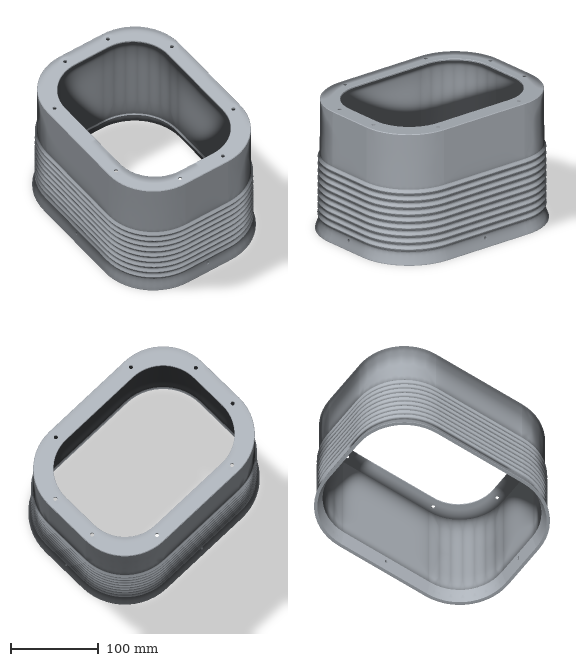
import cadquery as cq

CORE_X = 120.0
CORE_Y = 60.0
HEIGHT = 159.5

FOOT_OFFSET = 68.2
FOOT_LIP_HEIGHT = 0.8
FLARE_TOP_OFFSET = 63.3
BODY_BASE_OFFSET = 62.8
BODY_TOP_OFFSET = 62.5
TOP_EDGE_CHAMFER = 0.8

RIB_COUNT = 9
RIB_DEPTH = 2.3
RIB_BAND_BOTTOM = 14.5
RIB_BAND_TOP = 92.2
VALLEY_WIDTH = 1.0
CREST_WIDTH = 0.8

WALL = 2.3
LEDGE_Z = 16.0
LEDGE_WIDTH = 2.5
FOOT_WALL = 3.8

FLANGE_THICKNESS = 2.0
OPENING_X = 204.5
OPENING_Y = 144.3
OPENING_RADIUS = 49.2
OPENING_CHAMFER = 0.5

FLANGE_HOLE_DIAMETER = 4.5
FLANGE_HOLE_OFFSET = 52.3
FOOT_HOLE_DIAMETER = 3.5
FOOT_HOLE_Z = 10.5


def rib_points():
    """Outer points (offset, z) of the ribs, from the flare up to the plain body."""
    pitch = (RIB_BAND_TOP - RIB_BAND_BOTTOM) / RIB_COUNT
    draft = (FLARE_TOP_OFFSET - BODY_BASE_OFFSET) / RIB_COUNT
    points = [(FLARE_TOP_OFFSET, RIB_BAND_BOTTOM - VALLEY_WIDTH / 2)]
    for rib in range(RIB_COUNT):
        valley_low = FLARE_TOP_OFFSET - rib * draft
        valley_high = valley_low - draft
        crest = (valley_low + valley_high) / 2 + RIB_DEPTH
        low_z = RIB_BAND_BOTTOM + rib * pitch
        crest_z = low_z + pitch / 2
        points += [
            (valley_low, low_z + VALLEY_WIDTH / 2),
            (crest, crest_z - CREST_WIDTH / 2),
            (crest, crest_z + CREST_WIDTH / 2),
            (valley_high, low_z + pitch - VALLEY_WIDTH / 2),
        ]
    points.append((BODY_BASE_OFFSET, RIB_BAND_TOP + VALLEY_WIDTH / 2))
    return points


def wall_profile():
    """Closed section of the shell as (offset, z) points, outside first and then inside."""
    wall_base_offset = FLARE_TOP_OFFSET - WALL
    foot = [(FOOT_OFFSET, 0), (FOOT_OFFSET, FOOT_LIP_HEIGHT)]
    rim = [
        (BODY_TOP_OFFSET, HEIGHT - TOP_EDGE_CHAMFER),
        (BODY_TOP_OFFSET - TOP_EDGE_CHAMFER, HEIGHT),
        (BODY_TOP_OFFSET - WALL, HEIGHT),
    ]
    inside = [
        (wall_base_offset, LEDGE_Z),
        (wall_base_offset - LEDGE_WIDTH, LEDGE_Z),
        (FOOT_OFFSET - FOOT_WALL, 0),
    ]
    return foot + rib_points() + rim + inside


def rounded_block(size_x, size_y, corner_radius, bottom, height):
    """Upright block with rounded vertical edges, centred on the Z axis."""
    return (
        cq.Workplane("XY")
        .workplane(offset=bottom)
        .rect(size_x, size_y)
        .extrude(height)
        .edges("|Z")
        .fillet(corner_radius)
    )


def shell():
    """Sweep the wall section around the rounded rectangle at foot level."""
    size_x = CORE_X + 2 * FOOT_OFFSET
    size_y = CORE_Y + 2 * FOOT_OFFSET
    path = rounded_block(size_x, size_y, FOOT_OFFSET, 0, HEIGHT).faces("<Z").wires()
    section = [(-CORE_Y / 2 - offset, z) for offset, z in wall_profile()]
    return cq.Workplane("YZ").polyline(section).close().sweep(path)


def flange():
    """Thin plate closing the top of the shell around the large opening."""
    bottom = HEIGHT - FLANGE_THICKNESS
    offset = BODY_TOP_OFFSET - WALL / 2
    size_x = CORE_X + 2 * offset
    size_y = CORE_Y + 2 * offset
    plate = rounded_block(size_x, size_y, offset, bottom, FLANGE_THICKNESS)
    opening = rounded_block(OPENING_X, OPENING_Y, OPENING_RADIUS, bottom, FLANGE_THICKNESS)
    shortest_wire = cq.selectors.LengthNthSelector(0)
    opening_edge = plate.cut(opening).faces(">Z").wires(shortest_wire)
    return opening_edge.chamfer(OPENING_CHAMFER)


def flange_holes():
    """Vertical holes through the flange, one at each end of every straight side."""
    half_x = CORE_X / 2
    half_y = CORE_Y / 2
    centres = []
    for side_x in (-1, 1):
        for side_y in (-1, 1):
            centres.append((side_x * half_x, side_y * (half_y + FLANGE_HOLE_OFFSET)))
            centres.append((side_x * (half_x + FLANGE_HOLE_OFFSET), side_y * half_y))
    return (
        cq.Workplane("XY")
        .workplane(offset=HEIGHT / 2)
        .pushPoints(centres)
        .circle(FLANGE_HOLE_DIAMETER / 2)
        .extrude(HEIGHT)
    )


def foot_hole(plane, length):
    """Horizontal hole through the middle of two opposite sides of the flared foot."""
    return (
        cq.Workplane(plane)
        .center(0, FOOT_HOLE_Z)
        .circle(FOOT_HOLE_DIAMETER / 2)
        .extrude(length / 2, both=True)
    )


result = (
    shell()
    .union(flange())
    .cut(flange_holes())
    .cut(foot_hole("XZ", CORE_Y + 2 * FOOT_OFFSET))
    .cut(foot_hole("YZ", CORE_X + 2 * FOOT_OFFSET))
)